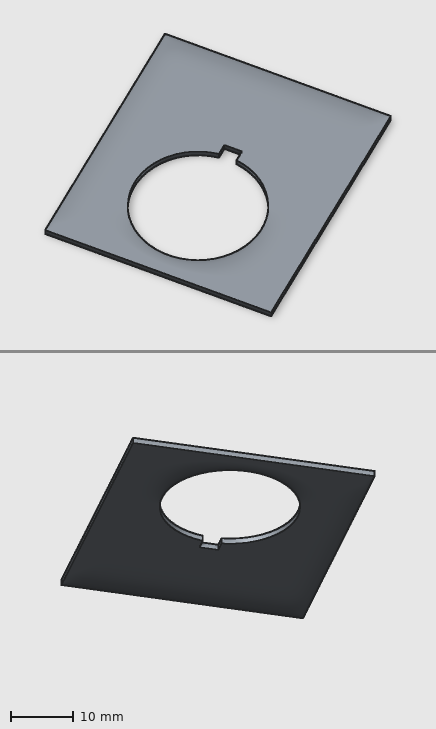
import cadquery as cq

plate_width = 40.0
plate_length = 45.0
plate_thickness = 1.0

legend_strip_length = plate_length / 3
hole_diameter = 22.5
hole_center_y = -legend_strip_length / 2

notch_width = 3.1
notch_reach = 13.2


def make_plate():
    return cq.Workplane("XY").box(plate_width, plate_length, plate_thickness)


def make_keyed_hole():
    """Through cutter: a round hole with a rectangular notch towards +Y."""
    start = cq.Workplane("XY", origin=(0, hole_center_y, -plate_thickness / 2))
    hole = start.circle(hole_diameter / 2).extrude(plate_thickness)
    notch = start.rect(notch_width, notch_reach, centered=(True, False)).extrude(plate_thickness)
    return hole.union(notch)


result = make_plate().cut(make_keyed_hole())